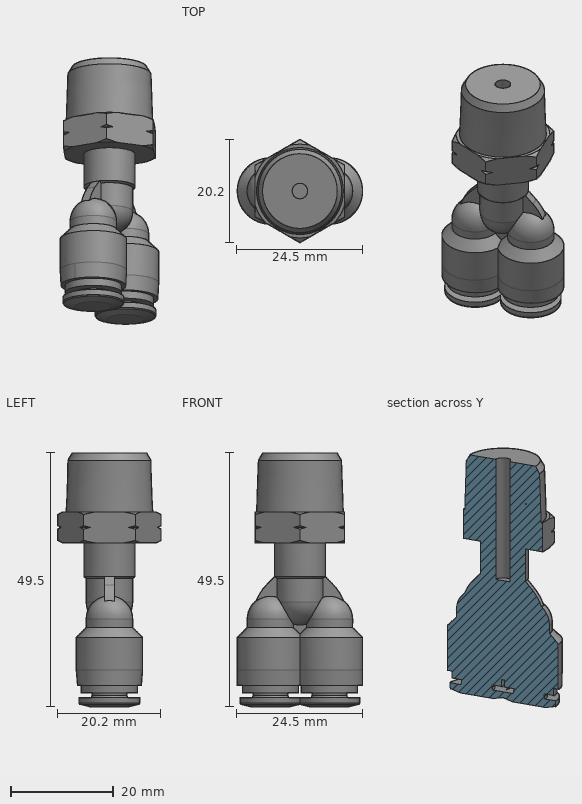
import cadquery as cq

TOTAL_HEIGHT = 49.5
BRANCH_OFFSET = 5.75

THREAD_TIP_RADIUS = 7.3
THREAD_END_RADIUS = 8.1
THREAD_BASE_RADIUS = 8.45
TIP_CHAMFER_HEIGHT = 1.45
BORE_DIAMETER = 3.0
BORE_DEPTH = TOTAL_HEIGHT / 2

NUT_CORNER_WIDTH = 20.15
NUT_BOTTOM = 32.0
NUT_TOP = 38.0
NUT_MIDDLE = (NUT_BOTTOM + NUT_TOP) / 2
NUT_CHAMFER_HEIGHT = 0.5
NUT_CHAMFER_WIDTH = 0.95
NOTCH_DEPTH = 0.6
NOTCH_HALF_HEIGHT = 0.35

SHANK_RADIUS = 10.0 / 2
SHANK_BOTTOM = 25.4
SHANK_STEP = 0.35
STEM_RADIUS = 4.55
STEM_ROUND_CENTER = 20.45

BODY_RADIUS = 6.5
DOME_CENTER = 17.15
CONE_TOP = 15.5
CONE_BOTTOM = 13.55
SKIRT_TOP = 7.25
BODY_BOTTOM = 4.2
SKIRT_NARROW_RADIUS = 6.25

COLLAR_RADIUS = 11.0 / 2
COLLAR_BOTTOM = 2.75
NECK_RADIUS = 6.8 / 2
NECK_FLARE_RADIUS = 3.55
NECK_FLARE_TOP = 2.3
BUTTON_RADIUS = 5.95
BUTTON_TOP = 1.85
BUTTON_EDGE_BOTTOM = 0.8
BUTTON_RIM_RADIUS = 5.8
BUTTON_RIM_HEIGHT = 0.55
BUTTON_FACE_RADIUS = 3.6

RIB_THICKNESS = 1.9
RIB_ARC_START = (6.55, 23.8)
RIB_ARC_END = (8.5, 20.7)


def revolve_profile(points):
    """Revolve (radius, height) points around the Z axis."""
    return cq.Workplane("XZ").polyline(points).close().revolve(360, (0, 0, 0), (0, 1, 0))


def round_post(radius, bottom, top):
    return cq.Workplane("XY").workplane(offset=bottom).circle(radius).extrude(top - bottom)


def ball(radius, height):
    return cq.Workplane("XY").sphere(radius).translate((0, 0, height))


def make_thread():
    return revolve_profile([
        (0, NUT_TOP),
        (THREAD_BASE_RADIUS, NUT_TOP),
        (THREAD_END_RADIUS, TOTAL_HEIGHT - TIP_CHAMFER_HEIGHT),
        (THREAD_TIP_RADIUS, TOTAL_HEIGHT),
        (0, TOTAL_HEIGHT),
    ])


def make_nut():
    corner_radius = NUT_CORNER_WIDTH / 2
    face_radius = corner_radius - NUT_CHAMFER_WIDTH
    hexagon = (
        cq.Workplane("XY")
        .workplane(offset=NUT_BOTTOM)
        .polygon(6, NUT_CORNER_WIDTH)
        .extrude(NUT_TOP - NUT_BOTTOM)
        .rotate((0, 0, 0), (0, 0, 1), 30)
    )
    envelope = revolve_profile([
        (0, NUT_BOTTOM),
        (face_radius, NUT_BOTTOM),
        (corner_radius, NUT_BOTTOM + NUT_CHAMFER_HEIGHT),
        (corner_radius, NUT_MIDDLE - NOTCH_HALF_HEIGHT),
        (corner_radius - NOTCH_DEPTH, NUT_MIDDLE),
        (corner_radius, NUT_MIDDLE + NOTCH_HALF_HEIGHT),
        (corner_radius, NUT_TOP - NUT_CHAMFER_HEIGHT),
        (face_radius, NUT_TOP),
        (0, NUT_TOP),
    ])
    return hexagon.intersect(envelope)


def make_stem():
    stem = revolve_profile([
        (0, STEM_ROUND_CENTER),
        (STEM_RADIUS, STEM_ROUND_CENTER),
        (STEM_RADIUS, SHANK_BOTTOM - SHANK_STEP),
        (SHANK_RADIUS, SHANK_BOTTOM),
        (SHANK_RADIUS, NUT_BOTTOM),
        (0, NUT_BOTTOM),
    ])
    return stem.union(ball(STEM_RADIUS, STEM_ROUND_CENTER))


def make_skirt():
    """Lower body: a circle that flattens along Y towards the bottom."""
    return (
        cq.Workplane("XY")
        .workplane(offset=BODY_BOTTOM)
        .ellipse(BODY_RADIUS, SKIRT_NARROW_RADIUS)
        .workplane(offset=SKIRT_TOP - BODY_BOTTOM)
        .ellipse(BODY_RADIUS, BODY_RADIUS)
        .loft(ruled=True)
    )


def make_branch():
    body = revolve_profile([
        (0, SKIRT_TOP),
        (BODY_RADIUS, SKIRT_TOP),
        (BODY_RADIUS, CONE_BOTTOM),
        (STEM_RADIUS, CONE_TOP),
        (STEM_RADIUS, DOME_CENTER),
        (0, DOME_CENTER),
    ])
    button = revolve_profile([
        (0, 0),
        (BUTTON_FACE_RADIUS, 0),
        (BUTTON_RIM_RADIUS, BUTTON_RIM_HEIGHT),
        (BUTTON_RADIUS, BUTTON_EDGE_BOTTOM),
        (BUTTON_RADIUS, BUTTON_TOP),
        (NECK_FLARE_RADIUS, BUTTON_TOP),
        (NECK_RADIUS, NECK_FLARE_TOP),
        (NECK_RADIUS, COLLAR_BOTTOM),
        (0, COLLAR_BOTTOM),
    ])
    collar = round_post(COLLAR_RADIUS, COLLAR_BOTTOM, BODY_BOTTOM)
    dome = ball(STEM_RADIUS, DOME_CENTER)
    return body.union(dome).union(make_skirt()).union(collar).union(button)


def make_rib():
    half = (
        cq.Workplane("XZ")
        .moveTo(0, SHANK_BOTTOM)
        .lineTo(SHANK_RADIUS, SHANK_BOTTOM)
        .lineTo(*RIB_ARC_START)
        .tangentArcPoint(RIB_ARC_END, relative=False)
        .lineTo(BRANCH_OFFSET, CONE_BOTTOM)
        .lineTo(0, CONE_BOTTOM)
        .close()
        .extrude(RIB_THICKNESS / 2, both=True)
    )
    return half.union(half.mirror("YZ"))


result = make_stem().union(make_nut()).union(make_thread()).union(make_rib())
for side in (-1, 1):
    result = result.union(make_branch().translate((side * BRANCH_OFFSET, 0, 0)))

bore = round_post(BORE_DIAMETER / 2, TOTAL_HEIGHT - BORE_DEPTH, TOTAL_HEIGHT)
result = result.cut(bore)